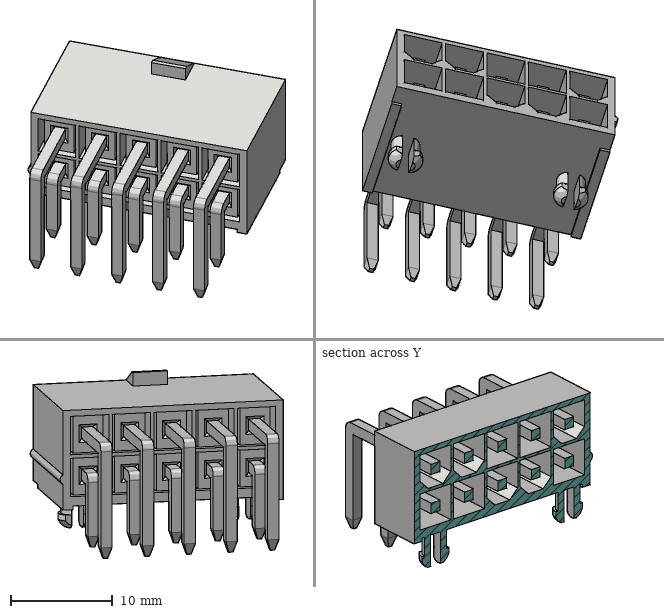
import cadquery as cq


COLUMNS = 5
PITCH = 4.2
BODY_WIDTH = 22.2
BODY_DEPTH = 12.8
BODY_TOP = 10.0
BODY_BOTTOM = 0.35
FOOT_WIDTH = 1.01
FOOT_LENGTH = 10.91

CELL_SIZE = 3.85
LOWER_ROW_Z = 3.25
UPPER_ROW_Z = LOWER_ROW_Z + PITCH
RECESS_DEPTH = 0.72
WEB_WIDTH = 3.04
WEB_THICKNESS = 1.35
FUNNEL_SIZE = 1.78
FUNNEL_DEPTH = 0.34
KEY_CHAMFER = 1.01
KEYED_UPPER_COLUMNS = (0, 3, 4)
KEYED_LOWER_COLUMNS = (1, 2)

TAB_WIDTH = 3.49
TAB_LENGTH = 3.02
TAB_HEIGHT = 1.35
TAB_CREST = 0.43
RIDGE_HEIGHT = 0.3
RIDGE_CHORD = 0.95
RIDGE_Z = 3.05

PIN_SIZE = 1.15
PIN_BEND_RADIUS = 0.8
PIN_BOTTOM = -3.55
PIN_TIP_LENGTH = 1.15
PIN_TIP_SIZE = 0.43
PIN_FRONT_Y = 11.25
UPPER_PIN_REACH = 7.18
LOWER_PIN_REACH = 1.69

PEG_Y = 6.19
PEG_AXIS_OFFSET = 0.4
PEG_NECK_RADIUS = 1.04
PEG_HEAD_RADIUS = 1.3
PEG_HEAD_TOP = -1.62
PEG_BOTTOM = -3.04
PEG_DOME_RADIUS = 1.37
PEG_DOME_CENTER_Z = -1.78
PEG_SLOT_WIDTH = 1.17


def block(x_range, y_range, z_range):
    """Box spanning the given (low, high) ranges."""
    lows, highs = zip(x_range, y_range, z_range)
    sizes = [high - low for low, high in zip(lows, highs)]
    return cq.Workplane("XY").box(*sizes, centered=False).translate(lows)


def around(center, size):
    """Range of the given size centred on a value."""
    return (center - size / 2, center + size / 2)


def column_x(column):
    return (column - (COLUMNS - 1) / 2) * PITCH


def housing_shell():
    half_width = BODY_WIDTH / 2
    shell = block((-half_width, half_width), (0, BODY_DEPTH), (BODY_BOTTOM, BODY_TOP))
    for side in (-1, 1):
        foot_x = side * (half_width - FOOT_WIDTH / 2)
        shell = shell.union(block(around(foot_x, FOOT_WIDTH), (0, FOOT_LENGTH), (0, BODY_BOTTOM)))
    return shell


def latch_tab():
    """Wedge rising from the mating face to a narrow crest."""
    rear_y = BODY_DEPTH - TAB_LENGTH
    crest_z = BODY_TOP + TAB_HEIGHT
    return (
        cq.Workplane("YZ")
        .moveTo(BODY_DEPTH, BODY_TOP)
        .lineTo(rear_y + TAB_CREST, crest_z)
        .lineTo(rear_y, crest_z)
        .lineTo(rear_y, BODY_TOP)
        .close()
        .extrude(TAB_WIDTH / 2, both=True)
    )


def side_ridge():
    """Full-depth ridge with an arc section."""
    wall_x = -BODY_WIDTH / 2
    low_z, high_z = around(RIDGE_Z, RIDGE_CHORD)
    return (
        cq.Workplane("XZ")
        .moveTo(wall_x, low_z)
        .threePointArc((wall_x - RIDGE_HEIGHT, RIDGE_Z), (wall_x, high_z))
        .close()
        .extrude(-BODY_DEPTH)
    )


def cell_cavity(x, z, keyed):
    """Opening of one cell: rear recess, web with a slot on each side, mating socket."""
    web_front = RECESS_DEPTH + WEB_THICKNESS
    cell_x = around(x, CELL_SIZE)
    cell_z = around(z, CELL_SIZE)
    passage = block(cell_x, (0, web_front), cell_z)
    web = block(around(x, WEB_WIDTH), (RECESS_DEPTH, web_front), cell_z)
    socket = block(cell_x, (web_front, BODY_DEPTH), cell_z)
    if keyed:
        socket = socket.edges("|Y and <Z").chamfer(KEY_CHAMFER)
    funnel = (
        cq.Workplane("XZ", origin=(x, RECESS_DEPTH, z))
        .rect(FUNNEL_SIZE, FUNNEL_SIZE)
        .workplane(offset=-FUNNEL_DEPTH)
        .rect(PIN_SIZE, PIN_SIZE)
        .loft()
    )
    return passage.cut(web).union(socket).union(funnel)


def pin(x, z, reach):
    """Square pin, bent down behind the housing, with a pyramid tip."""
    leg_y = -reach + PIN_SIZE / 2
    tip_top = PIN_BOTTOM + PIN_TIP_LENGTH
    top_z = z + PIN_SIZE / 2
    arm = block(around(x, PIN_SIZE), (-reach, PIN_FRONT_Y), around(z, PIN_SIZE))
    leg = block(around(x, PIN_SIZE), around(leg_y, PIN_SIZE), (tip_top, top_z))
    tip = (
        cq.Workplane("XY", origin=(x, leg_y, tip_top))
        .rect(PIN_SIZE, PIN_SIZE)
        .workplane(offset=-PIN_TIP_LENGTH)
        .rect(PIN_TIP_SIZE, PIN_TIP_SIZE)
        .loft()
    )
    bent = arm.union(leg).edges("|X and >Z and <Y").fillet(PIN_BEND_RADIUS)
    return bent.union(tip)


def peg_half(side):
    """Half peg: round neck and flat-sided domed head, on an axis shifted off centre."""
    neck = (
        cq.Workplane("XY", origin=(0, 0, BODY_BOTTOM))
        .circle(PEG_NECK_RADIUS)
        .extrude(PEG_HEAD_TOP - BODY_BOTTOM)
    )
    head = (
        cq.Workplane("XY", origin=(0, 0, PEG_HEAD_TOP))
        .circle(PEG_HEAD_RADIUS)
        .extrude(PEG_BOTTOM - PEG_HEAD_TOP)
    )
    dome = cq.Workplane("XY", origin=(0, 0, PEG_DOME_CENTER_Z)).sphere(PEG_DOME_RADIUS)
    head = head.intersect(dome)
    outer_x = PEG_AXIS_OFFSET + PEG_HEAD_RADIUS
    keep_x = sorted((side * PEG_SLOT_WIDTH / 2, side * outer_x))
    keep = block(keep_x, (-PEG_NECK_RADIUS, PEG_NECK_RADIUS), (PEG_BOTTOM, BODY_BOTTOM))
    return neck.union(head).translate((side * PEG_AXIS_OFFSET, 0, 0)).intersect(keep)


rows = (
    (LOWER_ROW_Z, LOWER_PIN_REACH, KEYED_LOWER_COLUMNS),
    (UPPER_ROW_Z, UPPER_PIN_REACH, KEYED_UPPER_COLUMNS),
)

result = housing_shell().union(latch_tab()).union(side_ridge())

for row_z, reach, keyed_columns in rows:
    for column in range(COLUMNS):
        x = column_x(column)
        result = result.cut(cell_cavity(x, row_z, column in keyed_columns))
        result = result.union(pin(x, row_z, reach))

for column in (0, COLUMNS - 1):
    for side in (-1, 1):
        result = result.union(peg_half(side).translate((column_x(column), PEG_Y, 0)))